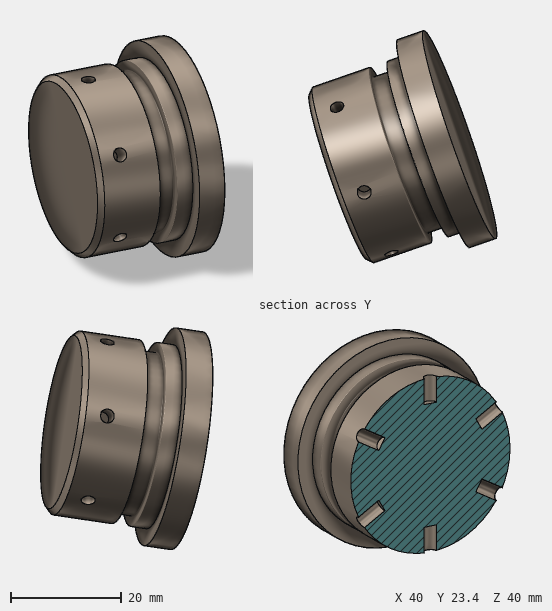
import cadquery as cq
import math

FLANGE_DIAMETER = 40.0
FLANGE_THICKNESS = 5.0
BODY_DIAMETER = 33.8
GROOVE_DIAMETER = 30.0
COLLAR_LENGTH = 3.0
GROOVE_WIDTH = 3.4
NOSE_LENGTH = 12.0
FRONT_CHAMFER = 1.0
FLOOR_FILLET = 0.2
MOUTH_ROUNDING = 0.1

HOLE_COUNT = 6
HOLE_DIAMETER = 2.53
HOLE_DEPTH = 5.0
HOLE_FROM_FRONT = 5.0
HOLE_OVERSHOOT = 1.0

GROOVE_FRONT = NOSE_LENGTH
GROOVE_BACK = GROOVE_FRONT + GROOVE_WIDTH
FLANGE_FRONT = GROOVE_BACK + COLLAR_LENGTH

BODY_RADIUS = BODY_DIAMETER / 2
GROOVE_RADIUS = GROOVE_DIAMETER / 2


def cylinder_along_y(diameter, start, length):
    """Solid cylinder on the Y axis, from Y = start towards +Y."""
    return cq.Workplane("XZ", origin=(0, start, 0)).circle(diameter / 2).extrude(-length)


def make_body():
    """Flange and body, with the front rim chamfered."""
    body = cylinder_along_y(BODY_DIAMETER, 0, FLANGE_FRONT)
    body = body.faces("<Y").edges().chamfer(FRONT_CHAMFER)
    return body.union(cylinder_along_y(FLANGE_DIAMETER, FLANGE_FRONT, FLANGE_THICKNESS))


def make_groove():
    """Ring to cut away: filleted at the floor corners and flared at the mouth."""
    floor_offset = FLOOR_FILLET * math.sqrt(0.5)
    mouth_offset = MOUTH_ROUNDING * math.sqrt(0.5)

    floor_x = GROOVE_RADIUS + FLOOR_FILLET
    floor_front = GROOVE_FRONT + FLOOR_FILLET
    floor_back = GROOVE_BACK - FLOOR_FILLET
    mouth_x = BODY_RADIUS - MOUTH_ROUNDING
    mouth_front = GROOVE_FRONT - MOUTH_ROUNDING
    mouth_back = GROOVE_BACK + MOUTH_ROUNDING

    profile = (
        cq.Workplane("XY")
        .moveTo(BODY_RADIUS, mouth_front)
        .threePointArc((mouth_x + mouth_offset, mouth_front + mouth_offset), (mouth_x, GROOVE_FRONT))
        .lineTo(floor_x, GROOVE_FRONT)
        .threePointArc((floor_x - floor_offset, floor_front - floor_offset), (GROOVE_RADIUS, floor_front))
        .lineTo(GROOVE_RADIUS, floor_back)
        .threePointArc((floor_x - floor_offset, floor_back + floor_offset), (floor_x, GROOVE_BACK))
        .lineTo(mouth_x, GROOVE_BACK)
        .threePointArc((mouth_x + mouth_offset, mouth_back - mouth_offset), (BODY_RADIUS, mouth_back))
        .close()
    )
    return profile.revolve(360, (0, 0, 0), (0, 1, 0))


def make_radial_hole(angle):
    """Flat-bottomed drill volume, turned about Y by the angle from +Z."""
    hole = (
        cq.Workplane("XY", origin=(0, HOLE_FROM_FRONT, BODY_RADIUS - HOLE_DEPTH))
        .circle(HOLE_DIAMETER / 2)
        .extrude(HOLE_DEPTH + HOLE_OVERSHOOT)
    )
    return hole.rotate((0, 0, 0), (0, 1, 0), angle)


result = make_body().cut(make_groove())
for index in range(HOLE_COUNT):
    result = result.cut(make_radial_hole(index * 360 / HOLE_COUNT))